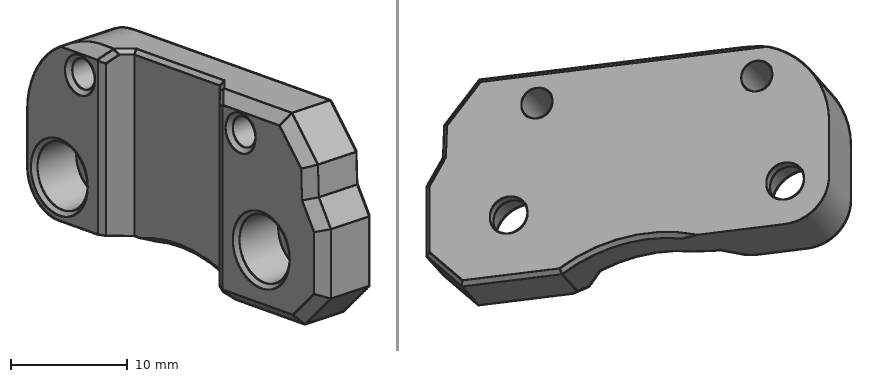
import cadquery as cq

LENGTH = 36.53
THICKNESS = 6.0
HEIGHT = 18.92

LEFT_BOTTOM = 1.95
TOP_CORNER_RADIUS = 8.0
BOTTOM_CORNER_RADIUS = 4.0

TOP_BREAK_X = 31.7
NOTCH_UPPER = (34.92, 15.05)
NOTCH_LOWER = (35.05, 12.1)
NOSE_TOP = 9.57
BOTTOM_CUT = 3.2

CENTER_X = 16.48
ARCH_RADIUS = 14.5
ARCH_TOP = 2.25
ARCH_HALF_SPAN = (ARCH_RADIUS**2 - (ARCH_RADIUS - ARCH_TOP) ** 2) ** 0.5
ARCH_LEFT = CENTER_X - ARCH_HALF_SPAN
ARCH_RIGHT = CENTER_X + ARCH_HALF_SPAN

RECESS_DEPTH = 2.0
RECESS_HALF_FLOOR = 5.3
RECESS_HALF_MOUTH = RECESS_HALF_FLOOR + RECESS_DEPTH

FRONT_CHAMFER = 1.02
SMALL_CHAMFER = 0.4

SCREW_SPACING = 25.0
SCREW_Z = LEFT_BOTTOM + BOTTOM_CORNER_RADIUS
SCREW_HOLE = 3.4
COUNTERBORE = 6.2
COUNTERBORE_DEPTH = 5.0

PIN_SPACING = 19.87
PIN_Z = 15.93
PIN_HOLE = 2.8
PIN_CHAMFER = 0.45

PICK = 0.05


def box(low, high):
    """Select the edges whose centres lie between two corners, with a margin."""
    return cq.selectors.BoxSelector([c - PICK for c in low], [c + PICK for c in high])


def plate():
    """Plate with a square left end, chamfered along its front and back outlines."""
    body = (
        cq.Workplane("XZ")
        .moveTo(0, 0)
        .lineTo(ARCH_LEFT, 0)
        .threePointArc((CENTER_X, ARCH_TOP), (ARCH_RIGHT, 0))
        .lineTo(LENGTH - BOTTOM_CUT, 0)
        .lineTo(LENGTH, BOTTOM_CUT)
        .lineTo(LENGTH, NOSE_TOP)
        .lineTo(*NOTCH_LOWER)
        .lineTo(*NOTCH_UPPER)
        .lineTo(TOP_BREAK_X, HEIGHT)
        .lineTo(0, HEIGHT)
        .close()
        .extrude(-THICKNESS)
    )
    right_front = box((ARCH_RIGHT, 0, 0), (LENGTH, 0, HEIGHT))
    top_front = box((0, 0, HEIGHT), (LENGTH, 0, HEIGHT))
    body = body.edges(right_front + top_front).chamfer(FRONT_CHAMFER)
    return body.faces(">Y").edges("not <X").chamfer(SMALL_CHAMFER)


def recess():
    """Trapezoidal channel running the full height of the front face."""
    return (
        cq.Workplane("XY")
        .moveTo(CENTER_X - RECESS_HALF_MOUTH, 0)
        .lineTo(CENTER_X - RECESS_HALF_FLOOR, RECESS_DEPTH)
        .lineTo(CENTER_X + RECESS_HALF_FLOOR, RECESS_DEPTH)
        .lineTo(CENTER_X + RECESS_HALF_MOUTH, 0)
        .close()
        .extrude(HEIGHT)
    )


def break_recess_rim(body):
    """Chamfer the recess along both mouth corners, the arch and the top."""
    left = CENTER_X - RECESS_HALF_MOUTH
    right = CENTER_X + RECESS_HALF_MOUTH
    whole_recess = box((left, 0, 0), (right, RECESS_DEPTH, HEIGHT))
    floor_bends = box((left, RECESS_DEPTH, HEIGHT / 4), (right, RECESS_DEPTH, HEIGHT * 3 / 4))
    return body.edges(whole_recess - floor_bends).chamfer(SMALL_CHAMFER)


def rounded_outline():
    """Block that rounds the left end and trims its bottom edge when intersected."""
    return (
        cq.Workplane("XZ")
        .moveTo(0, LEFT_BOTTOM + BOTTOM_CORNER_RADIUS)
        .radiusArc((BOTTOM_CORNER_RADIUS, LEFT_BOTTOM), -BOTTOM_CORNER_RADIUS)
        .lineTo(CENTER_X, LEFT_BOTTOM)
        .lineTo(CENTER_X, 0)
        .lineTo(LENGTH, 0)
        .lineTo(LENGTH, HEIGHT)
        .lineTo(TOP_CORNER_RADIUS, HEIGHT)
        .radiusArc((0, HEIGHT - TOP_CORNER_RADIUS), -TOP_CORNER_RADIUS)
        .close()
        .extrude(-THICKNESS)
    )


def hole_pair(spacing, z, diameter, depth, chamfer=0):
    """Two holes from the front face, mirrored about the centre line."""
    holes = (
        cq.Workplane("XZ")
        .pushPoints([(CENTER_X - spacing / 2, z), (CENTER_X + spacing / 2, z)])
        .circle(diameter / 2)
        .extrude(-depth)
    )
    if chamfer:
        for x in (CENTER_X - spacing / 2, CENTER_X + spacing / 2):
            mouth = cq.Solid.makeCone(
                diameter / 2 + chamfer, diameter / 2, chamfer, cq.Vector(x, 0, z), cq.Vector(0, 1, 0)
            )
            holes = holes.union(cq.Workplane(mouth))
    return holes


body = break_recess_rim(plate().cut(recess()))
body = body.intersect(rounded_outline())
body = body.cut(hole_pair(SCREW_SPACING, SCREW_Z, SCREW_HOLE, THICKNESS))
body = body.cut(hole_pair(SCREW_SPACING, SCREW_Z, COUNTERBORE, COUNTERBORE_DEPTH, SMALL_CHAMFER))
body = body.cut(hole_pair(PIN_SPACING, PIN_Z, PIN_HOLE, THICKNESS, PIN_CHAMFER))
result = body